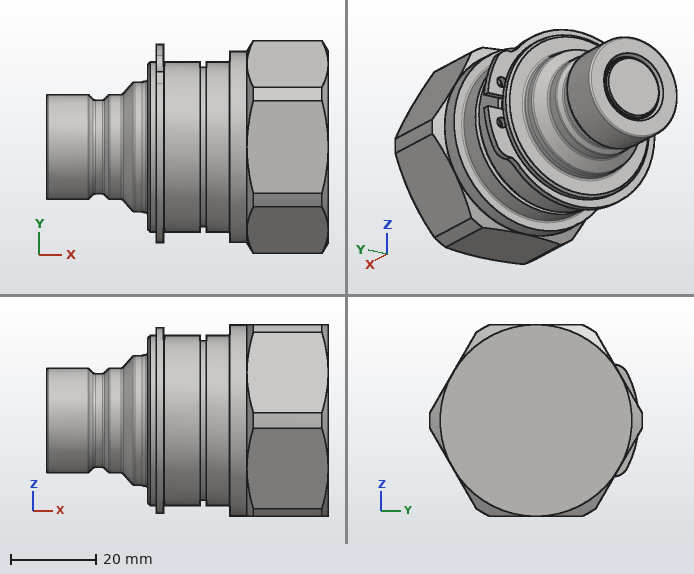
import cadquery as cq
import math


nose_radius = 12.3
nose_end = 9.75
neck_radius = 11.0
neck_cone_end = 14.65
shoulder_end = 17.35
shoulder_blend_end = 18.0
shoulder_blend_radius = 12.6
cone_end = 20.35
cone_radius = 15.25
nose_tip_fillet = 0.4
nose_end_fillet = 0.35
neck_start_fillet = 0.9
neck_end_fillet = 0.7
shoulder_edge_fillet = 0.5
cone_edge_fillet = 0.7

cone_collar_end = 22.3
cone_collar_radius = 15.45
cone_collar_taper_end = 23.1
cone_collar_fillet = 0.45
body_start = 23.7
body_radius = 20.0
body_chamfer = 0.65
seal_groove_start = 36.0
seal_groove_width = 1.5
seal_groove_radius = 18.75
body_end_fillet = 0.4
collar_start = 43.0
collar_radius = 22.45

hex_start = 47.0
total_length = 66.1
hex_across_flats = 45.0
hex_corner_radius = 25.0
hex_chamfer_length = 1.5

valve_gap_outer_radius = 8.3
valve_gap_floor_radius = 7.65
valve_radius = 7.35
valve_gap_depth = 0.9
valve_face_chamfer = 0.35

ring_start = 25.7
ring_thickness = 1.75
ring_groove_width = 1.95
ring_groove_radius = 19.0
ring_outer_radius = 21.85
ring_offset_y = -0.6
lug_radius = 24.15
lug_corner_y = 21.57
lug_shoulder_mid = (20.2, 12.55)
lug_root = (17.7, 13.2)
lug_root_mid = (16.3, 13.95)
lug_blend_y = 15.0
lug_slot_width = 3.3
plier_hole_radius = 1.25
plier_hole_y = 20.27
plier_hole_spacing = 10.1


def axial_cylinder(radius, start, length, y=0.0, z=0.0):
    """Cylinder along X that begins at X = start."""
    return cq.Workplane("YZ", origin=(start, y, z)).circle(radius).extrude(length)


def turn(points):
    """Solid of revolution about X from a closed outline of (x, radius) points."""
    return cq.Workplane("XY").polyline(points).close().revolve(360, (0, 0), (1, 0))


def fillet_circle(solid, x, radius, fillet):
    """Round the circular edge of the given radius that lies at the given X."""
    reach = 0.05
    selector = cq.selectors.BoxSelector(
        (x - reach, -reach, -reach), (x + reach, reach, reach)
    )
    edges = [
        edge
        for edge in solid.edges("%CIRCLE").edges(selector).vals()
        if abs(edge.radius() - radius) < reach
    ]
    return solid.newObject(edges).fillet(fillet)


def make_turned_body():
    """Nose, neck, cone, grooved body and collar, turned as one piece."""
    neck_depth = nose_radius - neck_radius
    neck_start = nose_end + neck_depth
    neck_end = neck_cone_end - neck_depth
    seal_groove_end = seal_groove_start + seal_groove_width
    ring_groove_end = ring_start + ring_groove_width

    body = (
        cq.Workplane("XY")
        .moveTo(0, 0)
        .lineTo(0, nose_radius)
        .lineTo(nose_end, nose_radius)
        .lineTo(neck_start, neck_radius)
        .lineTo(neck_end, neck_radius)
        .lineTo(neck_cone_end, nose_radius)
        .lineTo(shoulder_end, nose_radius)
        .tangentArcPoint((shoulder_blend_end, shoulder_blend_radius), relative=False)
        .lineTo(cone_end, cone_radius)
        .lineTo(cone_collar_end, cone_radius)
        .lineTo(cone_collar_taper_end, cone_collar_radius)
        .lineTo(body_start, cone_collar_radius)
        .lineTo(body_start, body_radius - body_chamfer)
        .lineTo(body_start + body_chamfer, body_radius)
        .lineTo(ring_start, body_radius)
        .lineTo(ring_start, ring_groove_radius)
        .lineTo(ring_groove_end, ring_groove_radius)
        .lineTo(ring_groove_end, body_radius)
        .lineTo(seal_groove_start, body_radius)
        .lineTo(seal_groove_start, seal_groove_radius)
        .lineTo(seal_groove_end, seal_groove_radius)
        .lineTo(seal_groove_end, body_radius)
        .lineTo(collar_start, body_radius)
        .lineTo(collar_start, collar_radius)
        .lineTo(hex_start, collar_radius)
        .lineTo(hex_start, 0)
        .close()
        .revolve(360, (0, 0), (1, 0))
    )
    rounded_edges = [
        (0, nose_radius, nose_tip_fillet),
        (nose_end, nose_radius, nose_end_fillet),
        (neck_start, neck_radius, neck_start_fillet),
        (neck_end, neck_radius, neck_end_fillet),
        (neck_cone_end, nose_radius, shoulder_edge_fillet),
        (cone_end, cone_radius, cone_edge_fillet),
        (body_start, cone_collar_radius, cone_collar_fillet),
        (collar_start, body_radius, body_end_fillet),
    ]
    for x, radius, fillet in rounded_edges:
        body = fillet_circle(body, x, radius, fillet)
    return body


def make_valve_gap():
    """Tapered ring groove between the nose and the chamfered valve face."""
    return turn([
        (0, valve_gap_outer_radius),
        (valve_gap_depth, valve_gap_floor_radius),
        (valve_gap_depth, valve_radius),
        (valve_face_chamfer, valve_radius),
        (0, valve_radius - valve_face_chamfer),
    ])


def make_hexagon():
    """Hexagon with flats facing +Z and -Z, its corners turned and chamfered."""
    length = total_length - hex_start
    flat_radius = hex_across_flats / 2
    prism = (
        cq.Workplane("YZ", origin=(hex_start, 0, 0))
        .polygon(6, hex_across_flats / math.cos(math.radians(30)))
        .extrude(length)
    )
    blank = turn([
        (hex_start, 0),
        (hex_start, flat_radius),
        (hex_start + hex_chamfer_length, hex_corner_radius),
        (total_length - hex_chamfer_length, hex_corner_radius),
        (total_length, flat_radius),
        (total_length, 0),
    ])
    return prism.intersect(blank)


def make_retaining_ring():
    """Eccentric snap ring with two plier lugs on the +Y side."""
    blend_z = math.sqrt(ring_outer_radius**2 - (lug_blend_y - ring_offset_y) ** 2)
    corner_z = math.sqrt(lug_radius**2 - lug_corner_y**2)

    def mirrored(point):
        return (point[0], -point[1])

    blend = (lug_blend_y, blend_z)
    corner = (lug_corner_y, corner_z)
    ring = (
        cq.Workplane("YZ", origin=(ring_start, 0, 0))
        .moveTo(*blend)
        .threePointArc(lug_root_mid, lug_root)
        .threePointArc(lug_shoulder_mid, corner)
        .threePointArc((lug_radius, 0), mirrored(corner))
        .threePointArc(mirrored(lug_shoulder_mid), mirrored(lug_root))
        .threePointArc(mirrored(lug_root_mid), mirrored(blend))
        .threePointArc((ring_offset_y - ring_outer_radius, 0), blend)
        .close()
        .extrude(ring_thickness)
    )
    bore = axial_cylinder(ring_groove_radius, ring_start, ring_thickness)
    slot = cq.Workplane("XY").box(
        ring_thickness, lug_radius, lug_slot_width, centered=(False, False, True)
    ).translate((ring_start, 0, 0))
    ring = ring.cut(bore).cut(slot)
    for side in (-1, 1):
        hole_z = side * plier_hole_spacing / 2
        ring = ring.cut(
            axial_cylinder(plier_hole_radius, ring_start, ring_thickness, plier_hole_y, hole_z)
        )
    return ring


result = (
    make_turned_body()
    .cut(make_valve_gap())
    .union(make_hexagon())
    .union(make_retaining_ring())
)